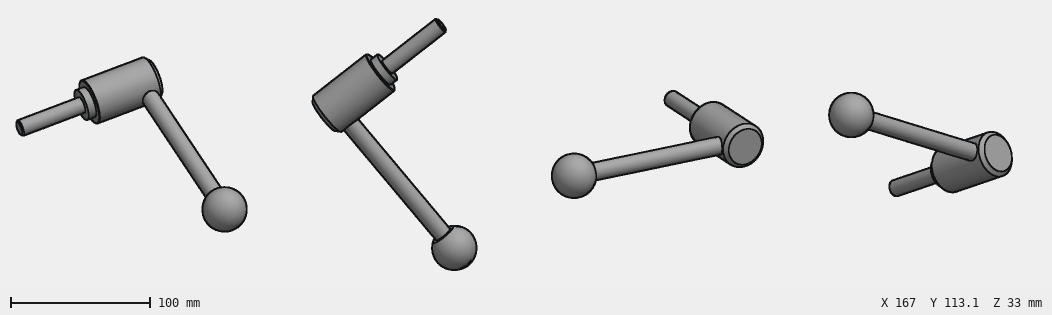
import cadquery as cq

hub_diameter = 33.0
hub_length = 52.1
hub_back_chamfer = 3.0
hub_front_chamfer = 0.5
collar_diameter = 23.0
collar_length = 6.0
pin_diameter = 12.0
pin_length = 50.0
pin_chamfer = 1.0

overall_length = 167.0
rod_diameter = 13.0
rod_setback = 11.0
ball_diameter = 32.0
ball_flat_offset = 12.9
ball_center_x = overall_length - hub_diameter / 2 - ball_diameter / 2


def cylinder_along_y(diameter, length, start_y):
    """Cylinder on the Y axis, running from start_y toward -Y."""
    plane = cq.Workplane("XZ", origin=(0, start_y, 0))
    return plane.circle(diameter / 2).extrude(length)


def make_hub():
    hub = cylinder_along_y(hub_diameter, hub_length, 0)
    hub = hub.faces(">Y").chamfer(hub_back_chamfer)
    return hub.faces("<Y").chamfer(hub_front_chamfer)


def make_collar():
    return cylinder_along_y(collar_diameter, collar_length, -hub_length)


def make_pin():
    start_y = -hub_length - collar_length
    pin = cylinder_along_y(pin_diameter, pin_length, start_y)
    return pin.faces("<Y").chamfer(pin_chamfer)


def make_rod():
    plane = cq.Workplane("YZ", origin=(0, -rod_setback, 0))
    return plane.circle(rod_diameter / 2).extrude(ball_center_x)


def make_ball():
    """Sphere cut flat on the side where the rod enters."""
    flat_x = ball_center_x - ball_flat_offset
    ball = cq.Workplane("XY").sphere(ball_diameter / 2)
    ball = ball.translate((ball_center_x, -rod_setback, 0))
    keep = cq.Workplane("YZ", origin=(flat_x, -rod_setback, 0))
    keep = keep.rect(ball_diameter, ball_diameter).extrude(ball_diameter)
    return ball.intersect(keep)


result = make_hub()
for piece in (make_collar(), make_pin(), make_rod(), make_ball()):
    result = result.union(piece)